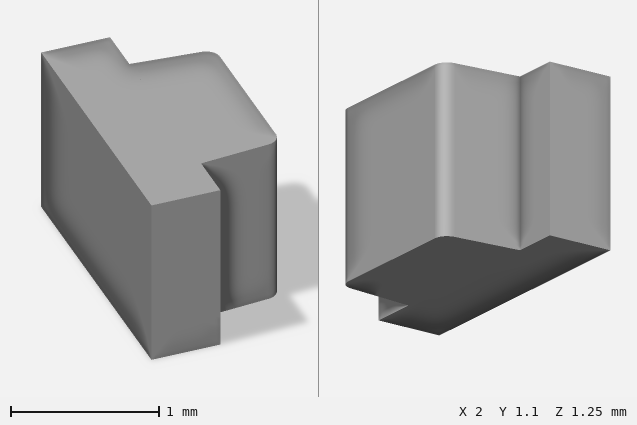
import cadquery as cq
import math

LENGTH = 2.0
HEIGHT = 1.25
BOARD_DEPTH = 0.5
LENS_DEPTH = 0.6

METAL_THICKNESS = 0.03
FRONT_LEG = 0.4
REAR_LEG = 0.35

LENS_DRAFT = 5.0
LENS_RADIUS = 0.1

PAD_LENGTH = 0.48
PAD_THICKNESS = 0.018

MARK_BASE_X = -0.372
MARK_LENGTH = 0.772

HALF_LENGTH = LENGTH / 2
LENS_HALF_WIDTH = HALF_LENGTH - REAR_LEG


def block(x_min, x_max, y_min, y_max):
    """Full-height block between the given X and Y limits."""
    return cq.Workplane("XY").box(
        x_max - x_min, y_max - y_min, HEIGHT, centered=False
    ).translate((x_min, y_min, -HEIGHT / 2))


def make_terminal(side):
    """C-shaped terminal at the -X end (side = -1) or the +X end (side = 1)."""
    outer = side * HALF_LENGTH
    inner = side * (HALF_LENGTH - METAL_THICKNESS)
    front_end = side * (HALF_LENGTH - FRONT_LEG)
    rear_end = side * (HALF_LENGTH - REAR_LEG)
    outline = [
        (outer, 0),
        (rear_end, 0),
        (rear_end, -METAL_THICKNESS),
        (inner, -METAL_THICKNESS),
        (inner, METAL_THICKNESS - BOARD_DEPTH),
        (front_end, METAL_THICKNESS - BOARD_DEPTH),
        (front_end, -BOARD_DEPTH),
        (outer, -BOARD_DEPTH),
    ]
    return cq.Workplane("XY").polyline(outline).close().extrude(HEIGHT / 2, both=True)


def make_pad():
    """Thin pad recessed in the rear face of the board, under the lens."""
    return block(LENS_HALF_WIDTH - PAD_LENGTH, LENS_HALF_WIDTH, -PAD_THICKNESS, 0)


def make_mark():
    """Triangular polarity mark, flush with the front face and pointing to +X."""
    return (
        cq.Workplane("XZ", origin=(0, -BOARD_DEPTH, 0))
        .moveTo(MARK_BASE_X, -HEIGHT / 2)
        .lineTo(MARK_BASE_X + MARK_LENGTH, 0)
        .lineTo(MARK_BASE_X, HEIGHT / 2)
        .close()
        .extrude(-METAL_THICKNESS)
    )


def make_lens():
    """Lens with drafted ends and rounded rear corners."""
    rear_half_width = LENS_HALF_WIDTH - LENS_DEPTH * math.tan(math.radians(LENS_DRAFT))
    outline = [
        (-LENS_HALF_WIDTH, 0),
        (LENS_HALF_WIDTH, 0),
        (rear_half_width, LENS_DEPTH),
        (-rear_half_width, LENS_DEPTH),
    ]
    lens = cq.Workplane("XY").polyline(outline).close().extrude(HEIGHT / 2, both=True)
    return lens.faces(">Y").edges("|Z").fillet(LENS_RADIUS)


terminals = [make_terminal(side) for side in (-1, 1)]
pad = make_pad()
mark = make_mark()
lens = make_lens()

board = block(-HALF_LENGTH, HALF_LENGTH, -BOARD_DEPTH, 0)
for inlay in [*terminals, pad, mark]:
    board = board.cut(inlay)

result = cq.Compound.makeCompound(
    [board.val(), *[terminal.val() for terminal in terminals], pad.val(), mark.val(), lens.val()]
)